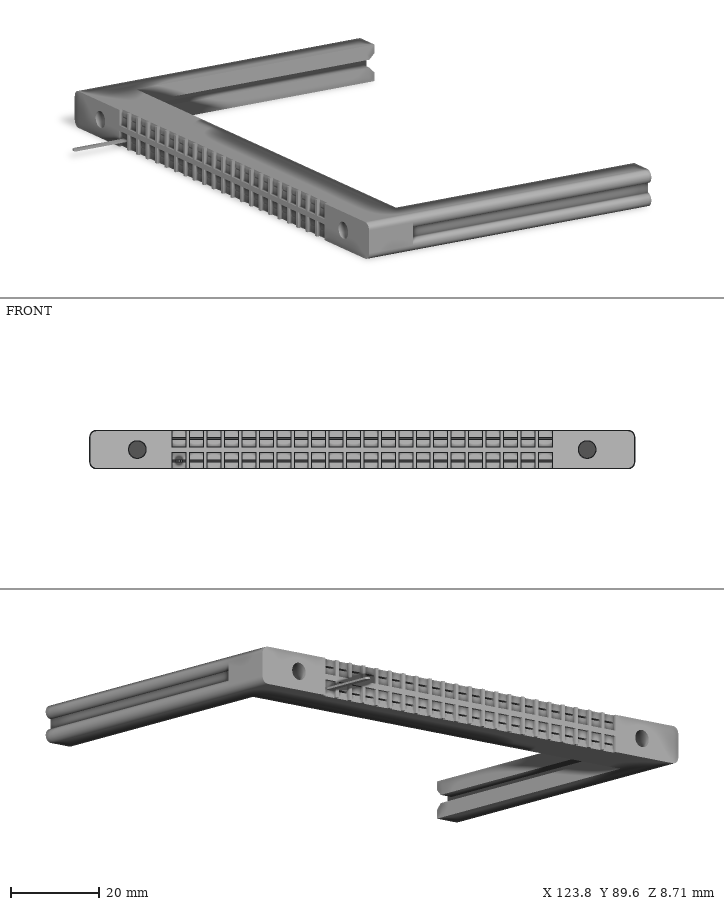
import cadquery as cq
import math

OVERALL_WIDTH = 123.83
FRAME_LENGTH = 76.2
CROSSBAR_DEPTH = 11.9
LEG_WIDTH = 7.24

GROOVE_HEIGHT = 2.36
EDGE_RADIUS = 1.5875
LIP_FLAT = 0.08
LIP_RADIUS = EDGE_RADIUS - LIP_FLAT
FRAME_HEIGHT = GROOVE_HEIGHT + 4 * EDGE_RADIUS
INNER_GROOVE_DEPTH = 3.175
INNER_GROOVE_HEIGHT = 1.9
LEAD_IN = 1.3
LEG_LENGTH = FRAME_LENGTH - CROSSBAR_DEPTH
HALF_WIDTH = OVERALL_WIDTH / 2
HALF_HEIGHT = FRAME_HEIGHT / 2
HALF_GROOVE = GROOVE_HEIGHT / 2
HALF_INNER_GROOVE = INNER_GROOVE_HEIGHT / 2
LEG_INNER_X = HALF_WIDTH - LEG_WIDTH

HOLE_DIAMETER = 4.0
HOLE_SPACING = 102.2
HOLE_DEPTH = 8.0

CONTACT_COUNT = 22
CONTACT_PITCH = 3.96
RECESS_WIDTH = 3.17
RECESS_DEPTH = 0.8
CENTER_WALL = 1.27
RECESS_HEIGHT = HALF_HEIGHT - CENTER_WALL / 2
RECESS_CENTER_Z = (HALF_HEIGHT + CENTER_WALL / 2) / 2
FIRST_CONTACT_X = -(CONTACT_COUNT - 1) * CONTACT_PITCH / 2

SLOT_THICKNESS = 0.45
SLOT_CENTER_Z = 2.55
SLOT_DEPTH = 6.35

PIN_WIDTH = 1.4
PIN_PROTRUSION = 13.41
PIN_TIP_CHAMFER = 0.4
PIN_LENGTH = PIN_PROTRUSION + SLOT_DEPTH


def make_frame_blank():
    """Crossbar and legs, with the outer long edges rounded."""
    block = cq.Workplane("XY").box(
        OVERALL_WIDTH, FRAME_LENGTH, FRAME_HEIGHT, centered=(True, False, True)
    )
    block = block.edges("|Y").fillet(EDGE_RADIUS)
    opening = (
        cq.Workplane("XY")
        .box(2 * LEG_INNER_X, LEG_LENGTH, FRAME_HEIGHT, centered=(True, False, True))
        .translate((0, CROSSBAR_DEPTH, 0))
    )
    return block.cut(opening)


def make_outer_groove():
    """Groove along the right leg's outer side, flaring out over rounded lips."""
    lip_z = HALF_GROOVE + LIP_RADIUS
    floor_x = HALF_WIDTH - LIP_RADIUS
    bulge = LIP_RADIUS * math.sqrt(0.5)
    return (
        cq.Workplane("XZ", origin=(0, CROSSBAR_DEPTH, 0))
        .moveTo(floor_x, -HALF_GROOVE)
        .lineTo(floor_x, HALF_GROOVE)
        .threePointArc((floor_x + bulge, lip_z - bulge), (HALF_WIDTH, lip_z))
        .lineTo(HALF_WIDTH, -lip_z)
        .threePointArc((floor_x + bulge, bulge - lip_z), (floor_x, -HALF_GROOVE))
        .close()
        .extrude(-LEG_LENGTH)
    )


def make_inner_groove():
    """Square groove along the right leg's inner side, chamfered wider at its end."""
    lead_in_start_y = FRAME_LENGTH - LEAD_IN
    mouth_half_height = HALF_INNER_GROOVE + LEAD_IN
    return (
        cq.Workplane("YZ", origin=(LEG_INNER_X, 0, 0))
        .moveTo(CROSSBAR_DEPTH, -HALF_INNER_GROOVE)
        .lineTo(lead_in_start_y, -HALF_INNER_GROOVE)
        .lineTo(FRAME_LENGTH, -mouth_half_height)
        .lineTo(FRAME_LENGTH, mouth_half_height)
        .lineTo(lead_in_start_y, HALF_INNER_GROOVE)
        .lineTo(CROSSBAR_DEPTH, HALF_INNER_GROOVE)
        .close()
        .extrude(INNER_GROOVE_DEPTH)
    )


def make_mounting_holes():
    return (
        cq.Workplane("XZ")
        .pushPoints([(-HOLE_SPACING / 2, 0), (HOLE_SPACING / 2, 0)])
        .circle(HOLE_DIAMETER / 2)
        .extrude(-HOLE_DEPTH)
    )


def make_front_pockets(height, center_z, depth):
    """Rectangular pockets at every contact position, in both rows."""
    centers = []
    for index in range(CONTACT_COUNT):
        x = FIRST_CONTACT_X + index * CONTACT_PITCH
        centers += [(x, center_z), (x, -center_z)]
    return cq.Workplane("XZ").pushPoints(centers).rect(RECESS_WIDTH, height).extrude(-depth)


def make_frame():
    frame = make_frame_blank()
    for groove in (make_outer_groove(), make_inner_groove()):
        frame = frame.cut(groove).cut(groove.mirror("YZ"))
    frame = frame.cut(make_mounting_holes())
    frame = frame.cut(make_front_pockets(RECESS_HEIGHT, RECESS_CENTER_Z, RECESS_DEPTH))
    return frame.cut(make_front_pockets(SLOT_THICKNESS, SLOT_CENTER_Z, SLOT_DEPTH))


def make_pin():
    """Flat contact pin with its front corners chamfered."""
    pin = cq.Workplane("XY").box(
        PIN_WIDTH, PIN_LENGTH, SLOT_THICKNESS, centered=(True, False, True)
    )
    pin = pin.faces("<Y").edges("|Z").chamfer(PIN_TIP_CHAMFER)
    return pin.translate((FIRST_CONTACT_X, -PIN_PROTRUSION, -SLOT_CENTER_Z))


frame = make_frame()
pin = make_pin()
result = cq.Compound.makeCompound([frame.val(), pin.val()])